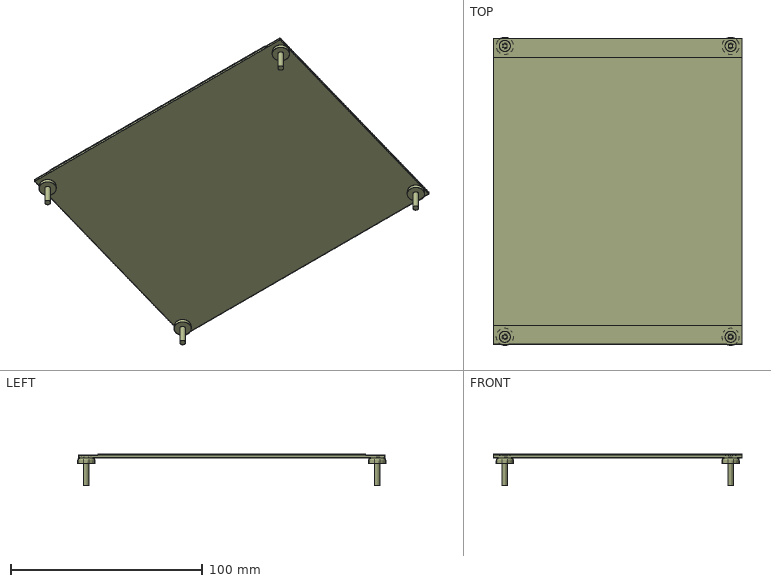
import cadquery as cq

plate_width = 130.0
plate_length = 160.0
plate_thickness = 1.5

sheet_length = 140.0
sheet_thickness = 0.5

edge_inset_x = 6.0
edge_inset_y = 4.0
hole_x = plate_width / 2 - edge_inset_x
hole_y = plate_length / 2 - edge_inset_y
fastener_points = [(sx * hole_x, sy * hole_y) for sx in (-1, 1) for sy in (-1, 1)]

screw_length = 16.0
shank_diameter = 3.0
head_diameter = 5.8
head_height = (head_diameter - shank_diameter) / 2
socket_across_flats = 2.0
socket_depth = 1.0

ring_diameter = 9.0
ring_height = 3.0
ring_rounding = 1.5

plate_bottom = -plate_thickness


def make_screw_body():
    """Screw envelope without its socket; also cuts the matching holes."""
    radius = shank_diameter / 2
    profile = [
        (0, 0),
        (head_diameter / 2, 0),
        (radius, -head_height),
        (radius, -screw_length),
        (0, -screw_length),
    ]
    return cq.Workplane("XZ").polyline(profile).close().revolve(360, (0, 0, 0), (0, 1, 0))


def make_screw(point):
    """Countersunk screw with a hexagon socket."""
    socket = (
        cq.Workplane("XY")
        .polygon(6, socket_across_flats, circumscribed=True)
        .extrude(-socket_depth)
    )
    return make_screw_body().cut(socket).translate((*point, 0))


def make_ring(point):
    """Round ring with its rim rounded over on the side facing the plate."""
    ring = (
        cq.Workplane("XY", origin=(0, 0, plate_bottom - ring_height))
        .circle(ring_diameter / 2)
        .extrude(ring_height)
        .faces(">Z")
        .edges()
        .fillet(ring_rounding)
    )
    return ring.cut(make_screw_body()).translate((*point, 0))


def make_plate():
    """Flat plate with a countersunk hole at each corner."""
    plate = cq.Workplane("XY").box(
        plate_width, plate_length, plate_thickness, centered=(True, True, False)
    ).translate((0, 0, plate_bottom))
    for point in fastener_points:
        plate = plate.cut(make_screw_body().translate((*point, 0)))
    return plate


def make_sheet():
    """Thin sheet across the full plate width, clear of the screws."""
    return cq.Workplane("XY").box(
        plate_width, sheet_length, sheet_thickness, centered=(True, True, False)
    )


plate = make_plate()
sheet = make_sheet()
screws = [make_screw(point) for point in fastener_points]
rings = [make_ring(point) for point in fastener_points]

result = cq.Compound.makeCompound(
    [plate.val(), sheet.val()]
    + [screw.val() for screw in screws]
    + [ring.val() for ring in rings]
)